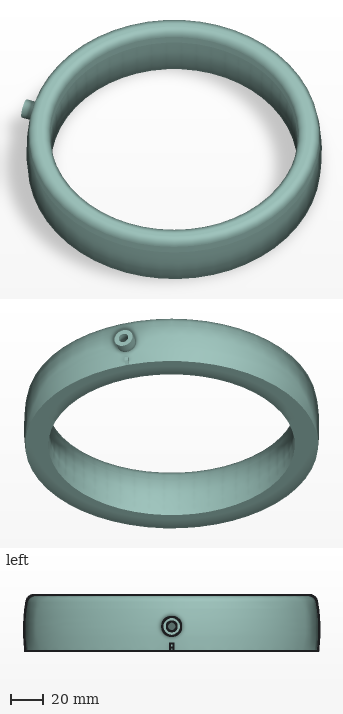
import cadquery as cq

ring_height = 34.3
middle_radius = 82.0
half_bottom = 7.0
half_belly = 7.8
belly_height = 12.5
half_shoulder = 7.0
shoulder_height = 25.7
half_rim = 6.3
rim_height = 30.2
half_top = 1.5
crown_bulge_offset = 4.5
crown_bulge_height = 33.2

spigot_end_x = -96.5
spigot_diameter = 11.5
bore_diameter = 6.0
spigot_height = 15.0
bore_depth = 14.5

wedge_width = 2.2
wedge_tip_x = -91.0
wedge_top = 4.7
wedge_tip_bottom = 2.2


def make_ring():
    """Revolve the crowned, slightly bellied section about Z."""
    def outer(offset, height):
        return (middle_radius + offset, height)

    def inner(offset, height):
        return (middle_radius - offset, height)

    section = (
        cq.Workplane("XZ")
        .moveTo(*outer(half_bottom, 0))
        .threePointArc(outer(half_belly, belly_height), outer(half_shoulder, shoulder_height))
        .lineTo(*outer(half_rim, rim_height))
        .threePointArc(outer(crown_bulge_offset, crown_bulge_height), outer(half_top, ring_height))
        .lineTo(*inner(half_top, ring_height))
        .threePointArc(inner(crown_bulge_offset, crown_bulge_height), inner(half_rim, rim_height))
        .lineTo(*inner(half_shoulder, shoulder_height))
        .threePointArc(inner(half_belly, belly_height), inner(half_bottom, 0))
        .close()
    )
    return section.revolve(360, (0, 0, 0), (0, 1, 0))


def make_wedge():
    """Flat-topped wedge whose underside slopes back to the bottom edge of the ring."""
    bottom_edge_x = -(middle_radius + half_bottom)
    return (
        cq.Workplane("XZ")
        .moveTo(wedge_tip_x, wedge_top)
        .lineTo(-middle_radius, wedge_top)
        .lineTo(-middle_radius, 0)
        .lineTo(bottom_edge_x, 0)
        .lineTo(wedge_tip_x, wedge_tip_bottom)
        .close()
        .extrude(wedge_width / 2, both=True)
    )


def spigot_cylinder(diameter, length):
    """Cylinder running inward (+X) from the free end of the spigot."""
    return (
        cq.Workplane("YZ", origin=(spigot_end_x, 0, spigot_height))
        .circle(diameter / 2)
        .extrude(length)
    )


spigot = spigot_cylinder(spigot_diameter, -middle_radius - spigot_end_x)
bore = spigot_cylinder(bore_diameter, bore_depth)
result = make_ring().union(spigot).union(make_wedge()).cut(bore)